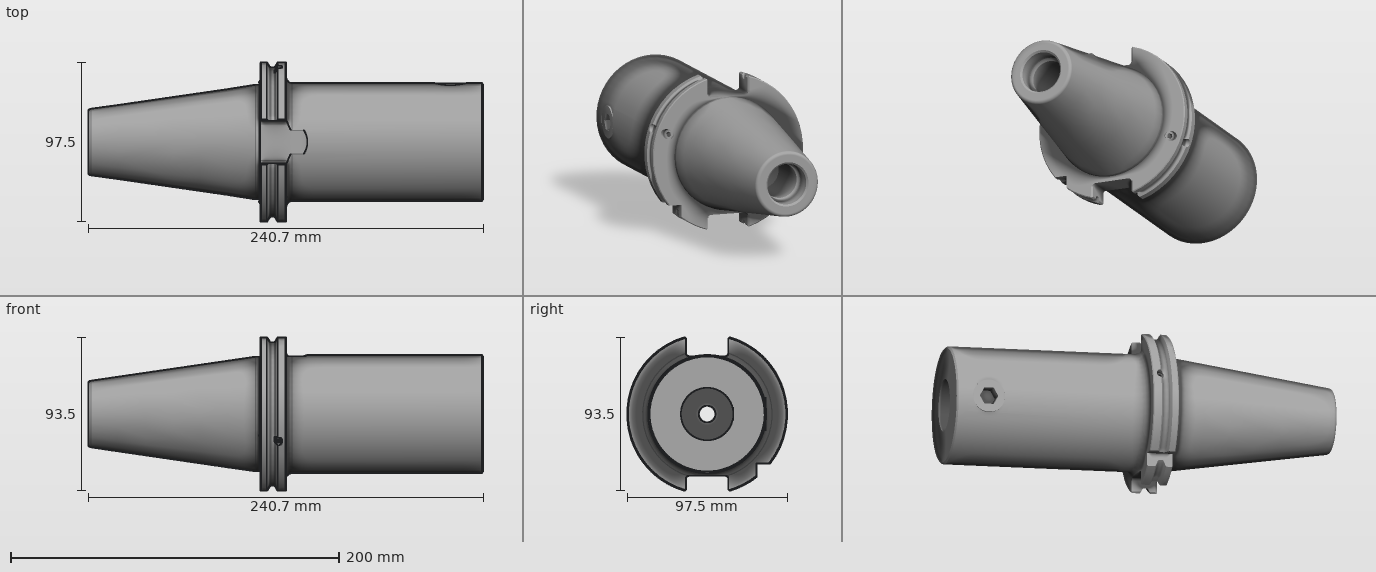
import cadquery as cq
import math


overall_length = 240.7
taper_length = 101.7
gauge_diameter = 69.85
taper_ratio = 7 / 24
small_end_radius = (gauge_diameter - taper_length * taper_ratio) / 2
small_end_rounding = 2.0

flange_diameter = 97.5
flange_radius = flange_diameter / 2
flange_front = taper_length + 3.2
flange_back = taper_length + 19.1
flange_edge_chamfer = 0.55
groove_center = taper_length + 10.6
groove_floor_radius = 91.25 / 2
groove_floor_width = 3.0
groove_fillet = 0.8
groove_half_angle = 30
collar_radius = gauge_diameter / 2
collar_relief_length = 0.6
collar_relief_depth = 0.4

body_radius = 36.0
body_fillet = 3.4
body_end_chamfer = 1.0

pilot_radius = 12.6
pilot_depth = 10.6
thread_mouth_radius = 12.4
thread_mouth_depth = 11.6
pilot_entry_radius = 13.7
thread_radius = 10.8
thread_depth = 45.0
drill_point_angle = 118
coolant_radius = 5.0
shank_bore_radius = 16.0
shank_bore_depth = 64.0

cut_overshoot = 10.0

keyway_width = 25.7
keyway_corner = 1.7
keyway_edge_chamfer = 0.95
upper_keyway_floor = 35.3
lower_keyway_floor = 37.7
keyway_end = 133.6
notch_corner = 30.2

clamp_screw_radius = 10.0
clamp_screw_inset = 20.0
clamp_screw_recess = 0.2
clamp_socket_width = 10.0
clamp_socket_depth = 10.0

plug_angle = 20
face_plug_radius = 3.0
rim_plug_radius = 2.5
plug_length = 6.0
plug_socket_width = 3.0
plug_socket_depth = 2.5
face_plug_circle_radius = 42.0
face_plug_tilt = 45
face_plug_recess = 1.9
rim_plug_position = 115.8
rim_plug_recess = 4.5
side_angles = (plug_angle, plug_angle + 180)


def revolve_about_x(profile):
    return profile.close().revolve(360, (0, 0, 0), (1, 0, 0))


def make_outer_shape():
    groove_slope = (flange_radius - groove_floor_radius) * math.tan(math.radians(groove_half_angle))
    floor_start = groove_center - groove_floor_width / 2
    floor_end = groove_center + groove_floor_width / 2
    edge_radius = flange_radius - flange_edge_chamfer
    fillet_middle = body_fillet * (1 - math.sqrt(0.5))
    profile = (
        cq.Workplane("XZ")
        .lineTo(0, small_end_radius)
        .lineTo(taper_length, gauge_diameter / 2)
        .lineTo(flange_front - collar_relief_length, collar_radius)
        .lineTo(flange_front, collar_radius - collar_relief_depth)
        .lineTo(flange_front, edge_radius)
        .lineTo(flange_front + flange_edge_chamfer, flange_radius)
        .lineTo(floor_start - groove_slope, flange_radius)
        .lineTo(floor_start, groove_floor_radius)
        .lineTo(floor_end, groove_floor_radius)
        .lineTo(floor_end + groove_slope, flange_radius)
        .lineTo(flange_back - flange_edge_chamfer, flange_radius)
        .lineTo(flange_back, edge_radius)
        .lineTo(flange_back, body_radius + body_fillet)
        .threePointArc(
            (flange_back + fillet_middle, body_radius + fillet_middle),
            (flange_back + body_fillet, body_radius),
        )
        .lineTo(overall_length - body_end_chamfer, body_radius)
        .lineTo(overall_length, body_radius - body_end_chamfer)
        .lineTo(overall_length, 0)
    )
    shape = revolve_about_x(profile)
    shape = shape.faces("<X").edges().fillet(small_end_rounding)
    groove_floor_edges = cq.selectors.BoxSelector(
        (floor_start - groove_fillet, -flange_radius, -flange_radius),
        (floor_end + groove_fillet, flange_radius, flange_radius),
    )
    return shape.edges(groove_floor_edges).edges("%CIRCLE").fillet(groove_fillet)


def make_axial_bores():
    entry_depth = pilot_entry_radius - pilot_radius
    mouth_chamfer = thread_mouth_radius - thread_radius
    point_length = (thread_radius - coolant_radius) / math.tan(math.radians(drill_point_angle / 2))
    shank_bore_start = overall_length - shank_bore_depth
    profile = (
        cq.Workplane("XZ")
        .lineTo(0, pilot_entry_radius)
        .lineTo(entry_depth, pilot_radius)
        .lineTo(pilot_depth, pilot_radius)
        .lineTo(thread_mouth_depth, thread_mouth_radius)
        .lineTo(thread_mouth_depth + mouth_chamfer, thread_radius)
        .lineTo(thread_depth, thread_radius)
        .lineTo(thread_depth + point_length, coolant_radius)
        .lineTo(shank_bore_start, coolant_radius)
        .lineTo(shank_bore_start, shank_bore_radius)
        .lineTo(overall_length, shank_bore_radius)
        .lineTo(overall_length, 0)
    )
    return revolve_about_x(profile)


def make_keyway(floor_height, end_position):
    """Slot on the +Z side, open towards the taper, with a full-round far end."""
    half_width = keyway_width / 2
    height = flange_radius - floor_height + cut_overshoot
    outline = (
        cq.Workplane("XY", origin=(0, 0, floor_height))
        .moveTo(flange_front, -half_width)
        .lineTo(end_position - half_width, -half_width)
        .threePointArc((end_position, 0), (end_position - half_width, half_width))
        .lineTo(flange_front, half_width)
        .close()
        .extrude(height)
    )
    round_cornered_bar = (
        cq.Workplane("XY", origin=(flange_front, 0, floor_height))
        .box(end_position - flange_front, keyway_width, height, centered=(False, True, False))
        .edges("|X and <Z")
        .fillet(keyway_corner)
    )
    slot = outline.intersect(round_cornered_bar)
    face_flare = (
        cq.Workplane("YZ", origin=(flange_front, 0, floor_height + keyway_corner))
        .rect(keyway_width + 2 * keyway_edge_chamfer, 2 * height)
        .workplane(offset=keyway_edge_chamfer)
        .rect(keyway_width, 2 * height)
        .loft()
    )
    above_corner = (
        cq.Workplane("XY", origin=(flange_front, 0, floor_height + keyway_corner))
        .box(keyway_width, 2 * keyway_width, height, centered=(True, True, False))
    )
    rim_height = math.sqrt(flange_radius**2 - (half_width + keyway_edge_chamfer) ** 2)
    rim_flare = (
        cq.Workplane("YZ", origin=(flange_front, 0, 0))
        .moveTo(half_width, rim_height - keyway_edge_chamfer)
        .lineTo(half_width + 2 * keyway_edge_chamfer, rim_height + keyway_edge_chamfer)
        .lineTo(-half_width - 2 * keyway_edge_chamfer, rim_height + keyway_edge_chamfer)
        .lineTo(-half_width, rim_height - keyway_edge_chamfer)
        .close()
        .extrude(flange_back - flange_front)
    )
    return slot.union(face_flare.intersect(above_corner)).union(rim_flare)


def make_notch():
    """Square notch through the whole flange, on the +Y -Z side."""
    size = flange_radius - notch_corner
    return (
        cq.Workplane("XY", origin=(flange_front, notch_corner, -flange_radius))
        .box(flange_back - flange_front, size, size, centered=False)
    )


def make_socket_screw(radius, length, socket_width, socket_depth):
    """Set screw with its socket end at the origin, pointing along -Z."""
    socket_diameter = socket_width / math.cos(math.radians(30))
    return (
        cq.Workplane("XY")
        .circle(radius)
        .extrude(-length)
        .faces(">Z")
        .workplane()
        .polygon(6, socket_diameter)
        .cutBlind(-socket_depth)
    )


def make_screw_hole(radius, length):
    """Blind hole for a set screw with its socket end at the origin, open towards +Z."""
    return cq.Workplane("XY", origin=(0, 0, -length)).circle(radius).extrude(length + cut_overshoot)


def place_face_plug(item, angle):
    """Lean the item inwards at the flange face and turn it about the axis."""
    return (
        item.translate((0, 0, -face_plug_recess))
        .rotate((0, 0, 0), (0, 1, 0), -face_plug_tilt)
        .translate((flange_front, 0, face_plug_circle_radius))
        .rotate((0, 0, 0), (1, 0, 0), angle - 90)
    )


def place_rim_plug(item, angle):
    """Set the item radially in the flange rim."""
    return (
        item.translate((rim_plug_position, 0, flange_radius - rim_plug_recess))
        .rotate((0, 0, 0), (1, 0, 0), angle - 90)
    )


def place_clamp_screw(item):
    """Set the item radially in the body, on the +Y side."""
    return (
        item.translate((overall_length - clamp_screw_inset, 0, body_radius - clamp_screw_recess))
        .rotate((0, 0, 0), (1, 0, 0), -90)
    )


face_plug = make_socket_screw(face_plug_radius, plug_length, plug_socket_width, plug_socket_depth)
face_plugs = [place_face_plug(face_plug, angle) for angle in side_angles]
rim_plug = make_socket_screw(rim_plug_radius, plug_length, plug_socket_width, plug_socket_depth)
rim_plugs = [place_rim_plug(rim_plug, angle) for angle in side_angles]

clamp_screw_length = body_radius - clamp_screw_recess - shank_bore_radius
clamp_screw = place_clamp_screw(
    make_socket_screw(clamp_screw_radius, clamp_screw_length, clamp_socket_width, clamp_socket_depth)
)

upper_keyway = make_keyway(upper_keyway_floor, keyway_end)
lower_keyway = make_keyway(lower_keyway_floor, keyway_end).rotate((0, 0, 0), (1, 0, 0), 180)
housing = (
    make_outer_shape()
    .cut(make_axial_bores())
    .cut(upper_keyway)
    .cut(lower_keyway)
    .cut(make_notch())
)
face_plug_hole = make_screw_hole(face_plug_radius, plug_length)
rim_plug_hole = make_screw_hole(rim_plug_radius, plug_length)
for angle in side_angles:
    housing = housing.cut(place_face_plug(face_plug_hole, angle))
    housing = housing.cut(place_rim_plug(rim_plug_hole, angle))
clamp_screw_hole = make_screw_hole(clamp_screw_radius, clamp_screw_length)
housing = housing.cut(place_clamp_screw(clamp_screw_hole))

result = cq.Compound.makeCompound(
    [housing.val(), clamp_screw.val()]
    + [plug_screw.val() for plug_screw in face_plugs + rim_plugs]
)